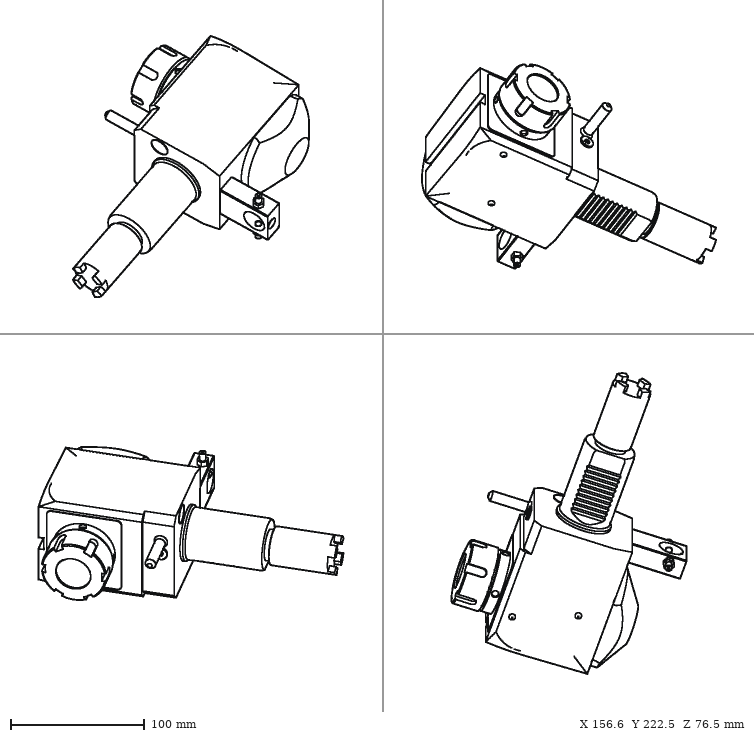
import cadquery as cq
import math


overall_length = 222.5
body_length = 104.5
body_height = 75.0
half_height = body_height / 2
rear_left_x = -41.8
rear_left_chamfer = 4.2
front_left_x = -39.0
front_left_chamfer = 6.0
front_part_length = 24.3
body_right_x = 39.0
side_slope_run = 14.7
side_slope_drop = 4.2
back_slope_length = 12.0
back_crest_x = -13.4
back_crest_rise = 3.1
front_crest_rise = 2.7
back_notch_height = 10.2
back_notch_depth = 4.2
front_plug_radius = 7.3
front_plug_depth = 0.5
front_plug_x = -16.0
front_plug_z = 27.5

spindle_y = 69.0
pad_width = 58.0
pad_height = 62.8
pad_thickness = 0.7
pad_corner = 3.5
nut_tip_x = -74.3
nut_back_x = -52.3
nut_radius = 25.1
nut_face_radius = 18.0
nut_cone_length = 1.3
nut_edge = 1.0
nut_bore_radius = 13.5
nut_bore_depth = 1.5
nut_groove_end_x = -50.3
nut_groove_radius = 20.5
collar_radius = 24.3
slot_count = 6
slot_width = 6.7
slot_end_x = -57.5
side_slot_end_x = -61.6
slot_floor_radius = 21.8
collar_hole_count = 4
collar_hole_radius = 2.7
collar_hole_x = -46.3
collar_hole_depth = 2.2

cap_radius = 40.3
cap_rim_x = 45.2
cap_end_x = 61.9
cap_land_end_x = 41.6
cap_end_radius = 15.8
cap_flat_y = 100.8

flange_radius = 21.5
flange_length = 2.0
shank_radius = 20.0
shank_end_y = -63.0
shank_chamfer_length = 2.7
shank_chamfer_depth = 0.7
neck_radius = 12.0
nose_start_y = -67.0
nose_radius = 15.0
nose_edge = 0.5
nose_end_y = -112.8
tip_y = body_length - overall_length
tang_count = 4
tang_inner_radius = 9.8
tang_half_angle = math.radians(18.4)

flat_depth_z = -15.8
valley_z = -14.7
tooth_pitch = 4.0
valley_count = 10
first_valley_y = -11.5
runout_mid_y = -5.3
runout_mid_z = -20.0
runout_end_z = -22.3

pin_y = 10.2
pin_z = 16.2
pin_radius = 4.0
pin_tip_x = -71.7
pin_tip_chamfer = 2.2
pin_collar_radius = 5.1
pin_collar_length = 2.5
screw_z = 5.8
screw_head_radius = 5.1
screw_head_length = 1.3
screw_socket_size = 4.0
screw_socket_depth = 1.0

arm_end_x = 82.3
arm_front_y = 0.7
arm_back_y = 16.5
arm_half_height = 15.0
arm_edge = 0.7
arm_inlet_radius = 4.5
arm_hole_x = 70.0
arm_hole_radius = 9.3
arm_screw_y = 6.5
arm_screw_radius = 2.5
arm_screw_top_z = 25.1
arm_screw_inner_z = 10.2
arm_screw_socket_radius = 1.0
arm_screw_socket_depth = 1.1
arm_nut_corners = 9.0
arm_nut_top_z = 19.0

nipple_positions = [(-30.0, 77.2), (16.7, 60.3)]
nipple_radius = 2.5
nipple_tip_radius = 0.5
nipple_height = 1.5

embed = 1.1


def box(x_range, y_range, z_range):
    """Box given by its limits along each axis."""
    corner = (x_range[0], y_range[0], z_range[0])
    return cq.Workplane("XY").box(
        x_range[1] - x_range[0],
        y_range[1] - y_range[0],
        z_range[1] - z_range[0],
        centered=False,
    ).translate(corner)


def turned_along_x(profile, y, z):
    """Revolve (x, radius) points about the line through (y, z) parallel to X."""
    return cq.Workplane("XY").polyline(profile).close().revolve(360, (0, 0), (1, 0)).translate((0, y, z))


def housing_section(left_x, left_chamfer, y_start, y_end):
    """Length of housing with chamfered left edges and long slopes on the right."""
    upper = [
        (left_x, half_height - left_chamfer),
        (left_x + left_chamfer, half_height),
        (body_right_x - side_slope_run, half_height),
        (body_right_x, half_height - side_slope_drop),
    ]
    lower = [(x, -z) for x, z in reversed(upper)]
    section = cq.Workplane("XZ", origin=(0, y_start, 0)).polyline(upper + lower).close()
    return section.extrude(y_start - y_end)


def back_slope_outline(plane, left_x, right_x, edge_z, crest_rise):
    """Region above a roof line that is straight on the right and rounded on the left."""
    top_z = 2 * half_height
    return (
        plane.moveTo(right_x, edge_z)
        .lineTo(back_crest_x, edge_z + crest_rise)
        .tangentArcPoint((left_x, edge_z), relative=False)
        .lineTo(left_x, top_z)
        .lineTo(right_x, top_z)
        .close()
    )


def back_slope_cutter():
    """Material above the slope at the back end of the housing, mitred into the side slopes."""
    back_end = back_slope_outline(
        cq.Workplane("XZ", origin=(0, body_length, 0)),
        rear_left_x,
        body_right_x,
        half_height - side_slope_drop,
        back_crest_rise,
    )
    front_end = back_slope_outline(
        back_end.workplane(offset=back_slope_length),
        rear_left_x + rear_left_chamfer,
        body_right_x - side_slope_run,
        half_height,
        front_crest_rise,
    )
    return front_end.loft(ruled=True)


def housing():
    body = housing_section(rear_left_x, rear_left_chamfer, front_part_length, body_length)
    slope = back_slope_cutter()
    body = body.cut(slope).cut(slope.mirror("XY"))
    body = body.union(housing_section(front_left_x, front_left_chamfer, 0, front_part_length))
    half_notch = back_notch_height / 2
    notch = box(
        (rear_left_x, body_right_x),
        (body_length - back_notch_depth, body_length),
        (-half_notch, half_notch),
    )
    plug = (
        cq.Workplane("XZ", origin=(front_plug_x, 0, front_plug_z))
        .circle(front_plug_radius)
        .extrude(-front_plug_depth)
    )
    return body.cut(notch).cut(plug)


def nut_slot(end_x):
    """Round-ended spanner slot on the front side of a nut centred on the X axis."""
    half_slot = slot_width / 2
    round_x = end_x - half_slot
    return (
        cq.Workplane("XZ", origin=(0, -slot_floor_radius, 0))
        .moveTo(nut_tip_x, -half_slot)
        .lineTo(round_x, -half_slot)
        .threePointArc((end_x, 0), (round_x, half_slot))
        .lineTo(nut_tip_x, half_slot)
        .close()
        .extrude(nut_radius)
    )


def spindle():
    """Mounting pad, collar and slotted collet nut."""
    pad = box(
        (rear_left_x - pad_thickness, rear_left_x + embed),
        (spindle_y - pad_width / 2, spindle_y + pad_width / 2),
        (-pad_height / 2, pad_height / 2),
    ).edges("|X").fillet(pad_corner)
    cone_end_x = nut_tip_x + nut_cone_length
    nut = turned_along_x(
        [
            (nut_tip_x + nut_bore_depth, 0),
            (nut_tip_x + nut_bore_depth, nut_bore_radius),
            (nut_tip_x, nut_bore_radius),
            (nut_tip_x, nut_face_radius),
            (cone_end_x, nut_radius - nut_edge),
            (cone_end_x + nut_edge, nut_radius),
            (nut_back_x, nut_radius),
            (nut_back_x, nut_groove_radius),
            (nut_groove_end_x, nut_groove_radius),
            (nut_groove_end_x, collar_radius),
            (rear_left_x + embed, collar_radius),
            (rear_left_x + embed, 0),
        ],
        spindle_y,
        0,
    )
    for i in range(slot_count):
        faces_sideways = i % (slot_count // 2) == 0
        slot = nut_slot(side_slot_end_x if faces_sideways else slot_end_x)
        turn = i * 360 / slot_count
        nut = nut.cut(slot.rotate((0, 0, 0), (1, 0, 0), turn).translate((0, spindle_y, 0)))
    hole = (
        cq.Workplane("XZ", origin=(collar_hole_x, collar_hole_depth - collar_radius, 0))
        .circle(collar_hole_radius)
        .extrude(nut_radius)
    )
    for i in range(collar_hole_count):
        turn = i * 360 / collar_hole_count
        nut = nut.cut(hole.rotate((0, 0, 0), (1, 0, 0), turn).translate((0, spindle_y, 0)))
    return nut.union(pad)


def rear_cap():
    """Conical cap with a short land, then trimmed in line with the housing's right-hand slopes."""
    start_x = body_right_x - embed
    cap = turned_along_x(
        [
            (start_x, 0),
            (start_x, cap_radius),
            (cap_rim_x, cap_radius),
            (cap_end_x, cap_end_radius),
            (cap_end_x, 0),
        ],
        spindle_y,
        0,
    )
    slope = side_slope_drop / side_slope_run
    corner_z = half_height - side_slope_drop
    land_z = corner_z - slope * (cap_land_end_x - body_right_x)
    end_z = corner_z - slope * (cap_end_x - body_right_x)
    upper = [(start_x, land_z), (cap_land_end_x, land_z), (cap_end_x, end_z)]
    lower = [(x, -z) for x, z in reversed(upper)]
    keep = cq.Workplane("XZ", origin=(0, cap_flat_y, 0)).polyline(upper + lower).close()
    keep = keep.extrude(2 * cap_radius)
    return cap.intersect(keep)


def shank_flat_cutter():
    """Serrated flat with a curved runout at the flange and a plain land at the end."""
    half_pitch = tooth_pitch / 2
    below_z = 2 * runout_end_z
    outline = (
        cq.Workplane("YZ", origin=(-flange_radius, 0, 0))
        .moveTo(0, below_z)
        .lineTo(0, runout_end_z)
        .threePointArc((runout_mid_y, runout_mid_z), (first_valley_y + half_pitch, flat_depth_z))
    )
    for i in range(valley_count):
        valley_y = first_valley_y - i * tooth_pitch
        outline = outline.lineTo(valley_y, valley_z).lineTo(valley_y - half_pitch, flat_depth_z)
    outline = outline.lineTo(shank_end_y, flat_depth_z).lineTo(shank_end_y, below_z).close()
    return outline.extrude(2 * flange_radius)


def drive_recess():
    """End layer of the nose that is removed to leave drive tangs with radial flanks."""
    reach = 2 * nose_radius
    flank_cos = math.cos(tang_half_angle)
    flank_sin = math.sin(tang_half_angle)
    inner_x = tang_inner_radius * flank_cos
    inner_z = tang_inner_radius * flank_sin
    nose_face = cq.Workplane("XZ", origin=(0, nose_end_y, 0))
    length = nose_end_y - tip_y
    tang = (
        nose_face.polyline(
            [
                (inner_x, -inner_z),
                (reach * flank_cos, -reach * flank_sin),
                (reach * flank_cos, reach * flank_sin),
                (inner_x, inner_z),
            ]
        )
        .close()
        .extrude(length)
    )
    recess = nose_face.circle((nose_radius + reach) / 2).extrude(length)
    for i in range(tang_count):
        turn = (i + 0.5) * 360 / tang_count
        recess = recess.cut(tang.rotate((0, 0, 0), (0, 1, 0), turn))
    return recess


def shank():
    step = flange_radius - shank_radius
    profile = [
        (0, embed),
        (flange_radius, embed),
        (flange_radius, -flange_length),
        (shank_radius, -flange_length - step),
        (shank_radius, shank_end_y + shank_chamfer_length),
        (shank_radius - shank_chamfer_depth, shank_end_y),
        (neck_radius, shank_end_y),
        (neck_radius, nose_start_y),
        (nose_radius - nose_edge, nose_start_y),
        (nose_radius, nose_start_y - nose_edge),
        (nose_radius, tip_y),
        (0, tip_y),
    ]
    turned = cq.Workplane("XY").polyline(profile).close().revolve(360, (0, 0), (0, 1))
    return turned.cut(shank_flat_cutter()).cut(drive_recess())


def stop_pin_and_screw():
    base_x = front_left_x + embed
    collar_x = front_left_x - pin_collar_length
    pin = turned_along_x(
        [
            (pin_tip_x, 0),
            (pin_tip_x, pin_radius - pin_tip_chamfer),
            (pin_tip_x + pin_tip_chamfer, pin_radius),
            (collar_x, pin_radius),
            (front_left_x, pin_collar_radius),
            (base_x, pin_collar_radius),
            (base_x, 0),
        ],
        pin_y,
        pin_z,
    )
    head_x = front_left_x - screw_head_length
    head = cq.Workplane("YZ", origin=(head_x, pin_y, screw_z)).circle(screw_head_radius)
    head = head.extrude(base_x - head_x)
    socket = cq.Workplane("YZ", origin=(head_x, pin_y, screw_z)).polygon(6, screw_socket_size)
    return pin.union(head.cut(socket.extrude(screw_socket_depth)))


def coolant_bracket():
    """Arm with a cross hole, an inlet from its end face and a locked screw above and below."""
    arm = box(
        (body_right_x - embed, arm_end_x),
        (arm_front_y, arm_back_y),
        (-arm_half_height, arm_half_height),
    ).edges("|X").chamfer(arm_edge)
    base = cq.Workplane("XY", origin=(arm_hole_x, arm_screw_y, arm_half_height - embed))
    nut = base.polygon(6, arm_nut_corners).extrude(arm_nut_top_z - arm_half_height + embed)
    screw = base.circle(arm_screw_radius).extrude(arm_screw_top_z - arm_half_height + embed)
    socket = cq.Workplane("XY", origin=(arm_hole_x, arm_screw_y, arm_screw_top_z))
    socket = socket.circle(arm_screw_socket_radius).extrude(-arm_screw_socket_depth)
    clamp = nut.union(screw).cut(socket)
    hole = (
        cq.Workplane("XZ", origin=(arm_hole_x, arm_back_y, 0))
        .circle(arm_hole_radius)
        .extrude(arm_back_y - arm_front_y)
    )
    screw_bore = (
        cq.Workplane("XY", origin=(arm_hole_x, arm_screw_y, -arm_screw_inner_z))
        .circle(arm_screw_radius)
        .extrude(2 * arm_screw_inner_z)
    )
    inlet = cq.Workplane("YZ", origin=(arm_hole_x, arm_screw_y, 0)).circle(arm_inlet_radius)
    inlet = inlet.extrude(arm_end_x - arm_hole_x)
    return arm.cut(hole).cut(screw_bore).cut(inlet).union(clamp).union(clamp.mirror("XY"))


def nipple(x, y):
    profile = [
        (0, embed - half_height),
        (nipple_radius, embed - half_height),
        (nipple_radius, -half_height),
        (nipple_tip_radius, -half_height - nipple_height),
        (0, -half_height - nipple_height),
    ]
    turned = cq.Workplane("XZ").polyline(profile).close().revolve(360, (0, 0), (0, 1))
    return turned.translate((x, y, 0))


result = housing()
for feature in (spindle(), rear_cap(), shank(), stop_pin_and_screw(), coolant_bracket()):
    result = result.union(feature)
for position in nipple_positions:
    result = result.union(nipple(*position))